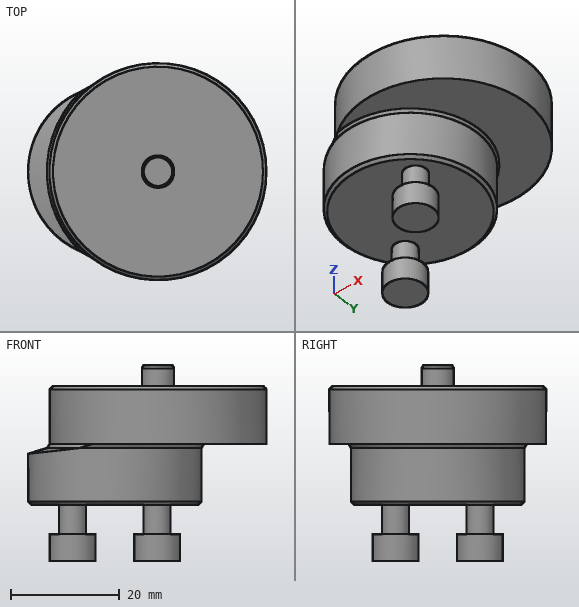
import cadquery as cq

disc_radius = 20.0
disc_height = 10.75
edge_chamfer = 0.65

pin_radius = 3.0
pin_height = 3.83
pin_chamfer_height = 0.6
pin_chamfer_width = 0.35

total_length = 43.95
hub_radius = 16.0
hub_height = 11.2
hub_x = disc_radius - total_length + hub_radius
neck_flare_height = 0.7
neck_flare_width = 0.4

shoulder_start_radius = 20.5
shoulder_start_drop = 0.7
shoulder_end_radius = total_length - disc_radius
shoulder_end_drop = 1.8

screw_offset = 7.8
shank_radius = 2.5
shank_length = 5.35
head_radius = 4.245
head_height = 5.0


def make_disc():
    disc = cq.Workplane("XY").circle(disc_radius).extrude(disc_height)
    return disc.faces(">Z").chamfer(edge_chamfer)


def make_pin():
    """Pin with a tapered tip; its foot starts at the underside of the disc."""
    tip = disc_height + pin_height
    profile = (
        cq.Workplane("XZ")
        .lineTo(pin_radius, 0)
        .lineTo(pin_radius, tip - pin_chamfer_height)
        .lineTo(pin_radius - pin_chamfer_width, tip)
        .lineTo(0, tip)
        .close()
    )
    return profile.revolve()


def make_hub():
    """Hub with a chamfered foot and a short conical neck that flares into the disc."""
    blank = (
        cq.Workplane("XZ")
        .moveTo(0, -hub_height)
        .lineTo(hub_radius - edge_chamfer, -hub_height)
        .lineTo(hub_radius, -hub_height + edge_chamfer)
        .lineTo(hub_radius, -neck_flare_height)
        .lineTo(hub_radius + neck_flare_width, 0)
        .lineTo(0, 0)
        .close()
        .revolve()
        .translate((hub_x, 0, 0))
    )
    shoulder = (
        cq.Workplane("XZ")
        .moveTo(0, -hub_height)
        .lineTo(shoulder_end_radius, -hub_height)
        .lineTo(shoulder_end_radius, -shoulder_end_drop)
        .lineTo(shoulder_start_radius, -shoulder_start_drop)
        .lineTo(disc_radius, 0)
        .lineTo(0, 0)
        .close()
        .revolve()
    )
    return blank.intersect(shoulder)


def make_screw(x, y):
    shank = cq.Workplane("XY").circle(shank_radius).extrude(-shank_length)
    head = cq.Workplane("XY", origin=(0, 0, -shank_length)).circle(head_radius).extrude(-head_height)
    return shank.union(head).translate((x, y, -hub_height))


result = make_disc().union(make_pin()).union(make_hub())
for side in (-1, 1):
    result = result.union(make_screw(hub_x + side * screw_offset, -side * screw_offset))